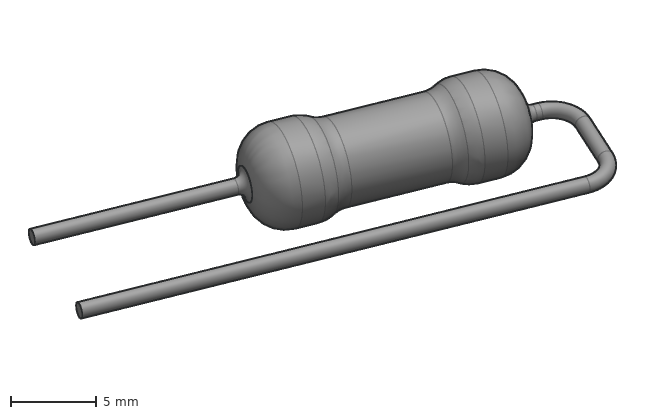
import cadquery as cq
import math

total_length = 34.6
total_width = 11.25

wire_diameter = 1.0
wire_radius = wire_diameter / 2
bend_radius = 1.97

cap_radius = 6.5 / 2
barrel_radius = 5.55 / 2
body_length = 17.65
body_back_gap = 3.45
dome_radius = 2.32
cap_band_length = 1.45
shoulder_length = 1.87
fillet_radius = 0.62

body_back = total_length - body_back_gap
body_front = body_back - body_length
body_middle = (body_front + body_back) / 2
lead_spacing = total_width - cap_radius - wire_radius
loop_y = total_length - wire_radius
bend_start_y = loop_y - bend_radius
bend_offset = bend_radius * math.sqrt(0.5)


def make_half_body():
    """Front half of the body with its lead flare, revolved about Y."""
    dome_end = body_front + dome_radius
    band_end = dome_end + cap_band_length
    shoulder_end = band_end + shoulder_length
    shoulder_middle = (band_end + shoulder_end) / 2
    shoulder_mid_radius = (cap_radius + barrel_radius) / 2
    dome_center_radius = cap_radius - dome_radius
    dome_offset = dome_radius * math.sqrt(0.5)
    body = (
        cq.Workplane("XY")
        .moveTo(0, body_front)
        .lineTo(dome_center_radius, body_front)
        .threePointArc(
            (dome_center_radius + dome_offset, dome_end - dome_offset),
            (cap_radius, dome_end),
        )
        .lineTo(cap_radius, band_end)
        .tangentArcPoint((shoulder_mid_radius, shoulder_middle), relative=False)
        .tangentArcPoint((barrel_radius, shoulder_end), relative=False)
        .lineTo(barrel_radius, body_middle)
        .lineTo(0, body_middle)
        .close()
        .revolve(360, (0, 0, 0), (0, 1, 0))
    )
    flare_radius = wire_radius + fillet_radius
    flare_offset = fillet_radius * (1 - math.sqrt(0.5))
    flare_overlap = dome_radius / 4
    flare = (
        cq.Workplane("XY")
        .moveTo(0, body_front - fillet_radius)
        .lineTo(wire_radius, body_front - fillet_radius)
        .threePointArc(
            (wire_radius + flare_offset, body_front - flare_offset),
            (flare_radius, body_front),
        )
        .lineTo(flare_radius, body_front + flare_overlap)
        .lineTo(0, body_front + flare_overlap)
        .close()
        .revolve(360, (0, 0, 0), (0, 1, 0))
    )
    return body.union(flare)


def make_wire():
    """Straight lead through the body, bent back beside it in a U."""
    corner_offset = bend_radius - bend_offset
    path = (
        cq.Workplane("XY")
        .lineTo(0, bend_start_y)
        .threePointArc((corner_offset, loop_y - corner_offset), (bend_radius, loop_y))
        .lineTo(lead_spacing - bend_radius, loop_y)
        .threePointArc(
            (lead_spacing - corner_offset, loop_y - corner_offset),
            (lead_spacing, bend_start_y),
        )
        .lineTo(lead_spacing, 0)
    )
    return cq.Workplane("XZ").circle(wire_radius).sweep(path)


half_body = make_half_body()
body = half_body.union(half_body.mirror("XZ", (0, body_middle, 0)))
result = body.union(make_wire())